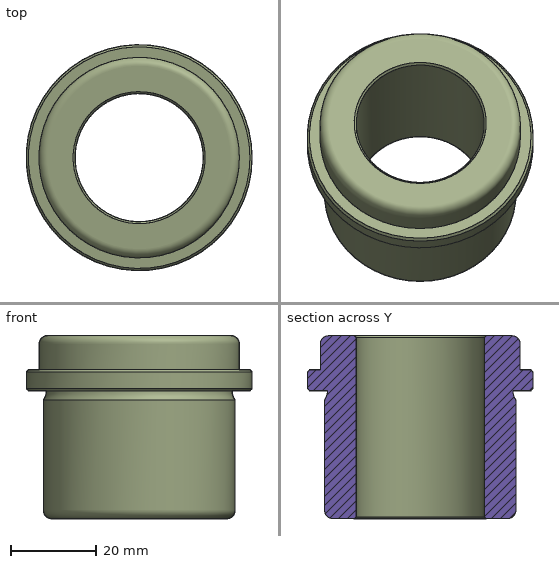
import cadquery as cq
import math

total_height = 43.0
flange_bottom = 30.0
flange_top = 34.95

flange_radius = 53 / 2
collar_radius = 47.0 / 2
sleeve_radius = 45.0 / 2
bore_radius = 30.0 / 2

end_rounding = 2.0
flange_chamfer = 0.55
bore_chamfer = 0.5

undercut_depth = 0.7
undercut_height = 2.1


def make_sleeve():
    """Lower cylinder with a rounded bottom edge."""
    sleeve = cq.Workplane("XY").circle(sleeve_radius).extrude(flange_bottom)
    return sleeve.faces("<Z").edges().fillet(end_rounding)


def make_flange():
    """Thin disc with both rims chamfered."""
    flange = cq.Workplane("XY").workplane(offset=flange_bottom)
    flange = flange.circle(flange_radius).extrude(flange_top - flange_bottom)
    return flange.edges().chamfer(flange_chamfer)


def make_collar():
    """Upper cylinder with a rounded top edge."""
    collar = cq.Workplane("XY").workplane(offset=flange_top)
    collar = collar.circle(collar_radius).extrude(total_height - flange_top)
    return collar.faces(">Z").edges().fillet(end_rounding)


def make_undercut():
    """Ring with a hollow-arc neck, running parallel to the axis where it meets the flange."""
    arc_radius = (undercut_height**2 + undercut_depth**2) / (2 * undercut_depth)
    neck_radius = sleeve_radius - undercut_depth
    arc_center = neck_radius + arc_radius
    half_angle = math.asin(undercut_height / arc_radius) / 2
    arc_middle = (
        arc_center - arc_radius * math.cos(half_angle),
        flange_bottom - arc_radius * math.sin(half_angle),
    )
    profile = (
        cq.Workplane("XZ")
        .moveTo(neck_radius, flange_bottom)
        .threePointArc(arc_middle, (sleeve_radius, flange_bottom - undercut_height))
        .lineTo(sleeve_radius, flange_bottom)
        .close()
    )
    return profile.revolve(360, (0, 0, 0), (0, 1, 0))


sleeve = make_sleeve().cut(make_undercut())
body = sleeve.union(make_flange()).union(make_collar())

bore = cq.Workplane("XY").circle(bore_radius).extrude(total_height)
mouth_edges = cq.selectors.RadiusNthSelector(0)
result = body.cut(bore)
result = result.faces("<Z or >Z").edges(mouth_edges).chamfer(bore_chamfer)